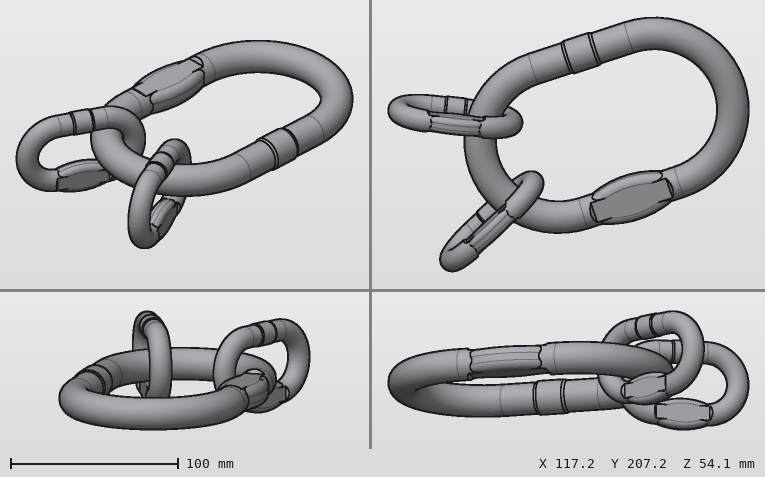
import cadquery as cq
import math

MASTER_WIRE = 19.0
MASTER_COLLAR = 20.5
MASTER_BEND = 46.8
MASTER_STRAIGHT = 60.3

SUB_WIRE = 13.0
SUB_COLLAR = 13.9
SUB_BEND = 19.0
SUB_STRAIGHT = 29.5
SUB_TILT = 25
SUB_OFFSET_X = 34.0
SUB_CENTRE_Y = -83.7

COLLAR_LENGTH = 1.0
COLLAR_TOP_LENGTH = 0.82
FLAT_THICKNESS = 0.75
FLAT_LENGTH = 2.48
WALL_SLOPE = 50
BULGE_WIDTH = 1.41
BULGE_ARC_RADIUS = 3.0
BULGE_FILLET = 0.26


def ring(wire, bend, straight):
    """Oblong ring of round wire in XY, with its straight legs along Y."""
    half = straight / 2
    path = (
        cq.Workplane("XY")
        .moveTo(bend, -half)
        .lineTo(bend, half)
        .threePointArc((0, half + bend), (-bend, half))
        .lineTo(-bend, -half)
        .threePointArc((0, -half - bend), (bend, -half))
        .close()
    )
    return cq.Workplane("XZ", origin=(bend, -half, 0)).circle(wire / 2).sweep(path)


def weld_collar(wire, collar):
    """Raised band around Y with sloping ends."""
    half_base = wire * COLLAR_LENGTH / 2
    half_top = wire * COLLAR_TOP_LENGTH / 2
    return (
        cq.Workplane("XY")
        .polyline([
            (0, -half_base),
            (wire / 2, -half_base),
            (collar / 2, -half_top),
            (collar / 2, half_top),
            (wire / 2, half_base),
            (0, half_base),
        ])
        .close()
        .revolve(360, (0, 0, 0), (0, 1, 0))
    )


def flat_cutter(wire):
    """Pair of blocks that press flats into the +Z and -Z sides, with sloping end walls."""
    floor = wire * FLAT_THICKNESS / 2
    top = wire
    half_length = wire * FLAT_LENGTH / 2
    half_mouth = half_length + (top - floor) / math.tan(math.radians(WALL_SLOPE))
    upper = (
        cq.Workplane("YZ")
        .polyline([(-half_length, floor), (half_length, floor), (half_mouth, top), (-half_mouth, top)])
        .close()
        .extrude(wire / 2, both=True)
    )
    return upper.union(upper.mirror("XY"))


def bulge(wire):
    """Barrel-shaped plate along Y, widest in the middle, with rounded long edges."""
    thickness = wire * FLAT_THICKNESS
    half_length = wire * FLAT_LENGTH / 2
    half_width = wire * BULGE_WIDTH / 2
    arc_radius = wire * BULGE_ARC_RADIUS
    sagitta = arc_radius - math.sqrt(arc_radius**2 - half_length**2)
    end_width = half_width - sagitta
    return (
        cq.Workplane("XY", origin=(0, 0, -thickness / 2))
        .moveTo(end_width, -half_length)
        .threePointArc((half_width, 0), (end_width, half_length))
        .lineTo(-end_width, half_length)
        .threePointArc((-half_width, 0), (-end_width, -half_length))
        .close()
        .extrude(thickness)
        .edges("%CIRCLE")
        .fillet(wire * BULGE_FILLET)
    )


def link(wire, collar, bend, straight):
    """Complete link in XY: weld collar on the +X leg, flattened bulge on the -X leg."""
    return (
        ring(wire, bend, straight)
        .cut(flat_cutter(wire).translate((-bend, 0, 0)))
        .union(bulge(wire).translate((-bend, 0, 0)))
        .union(weld_collar(wire, collar).translate((bend, 0, 0)))
    )


def sub_link(side):
    """Sub-link stood upright, collar on top, splayed towards the given X side (-1 or +1)."""
    return (
        link(SUB_WIRE, SUB_COLLAR, SUB_BEND, SUB_STRAIGHT)
        .rotate((0, 0, 0), (0, 1, 0), -90)
        .rotate((0, 0, 0), (0, 0, 1), side * SUB_TILT)
        .translate((side * SUB_OFFSET_X, SUB_CENTRE_Y, 0))
    )


master_link = link(MASTER_WIRE, MASTER_COLLAR, MASTER_BEND, MASTER_STRAIGHT)
sub_links = [sub_link(side) for side in (-1, 1)]

result = cq.Compound.makeCompound([master_link.val(), *[body.val() for body in sub_links]])